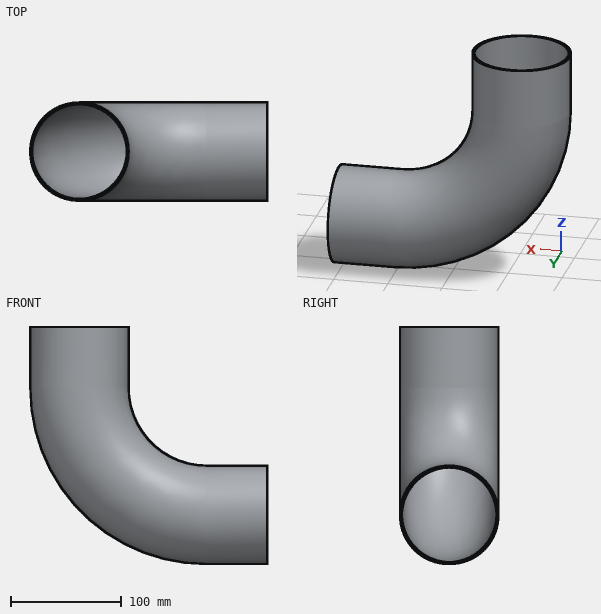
import cadquery as cq

overall_length = 214.0
outer_diameter = 89.0
wall_thickness = 2.0
straight_length = 55.0

outer_radius = outer_diameter / 2
inner_radius = outer_radius - wall_thickness
bend_radius = overall_length - outer_radius - straight_length
BEND_ANGLE = 90


def ring(plane):
    """Pipe cross-section: two concentric circles on the given plane."""
    return cq.Workplane(plane).circle(outer_radius).circle(inner_radius)


vertical_leg = ring("XY").extrude(straight_length)

bend = ring("XY").revolve(BEND_ANGLE, (bend_radius, 0, 0), (bend_radius, -1, 0))

horizontal_start = cq.Plane(
    origin=(bend_radius, 0, -bend_radius), xDir=(0, 1, 0), normal=(1, 0, 0)
)
horizontal_leg = ring(horizontal_start).extrude(straight_length)

result = vertical_leg.union(bend).union(horizontal_leg)